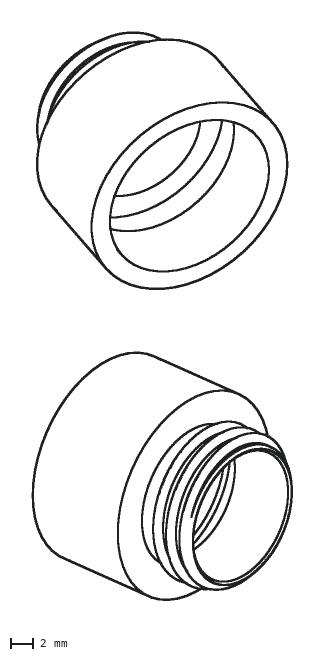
import cadquery as cq
import math

total_length = 16.5
body_diameter = 19.88
neck_length = 6.0
neck_diameter = 13.56
tip_chamfer = 0.3

bore_diameter = 12.45
bore_chamfer = 0.23
bore_length = 6.8
relief_diameter = 17.02
relief_end = 9.5
socket_diameter = 16.14
shoulder_length = 0.28

pitch = 1.5875
thread_height = 0.775
thread_width = 1.0
thread_end = 4.6
crest_x = 0.71
embed = 0.1

body_radius = body_diameter / 2
neck_radius = neck_diameter / 2
tip_radius = neck_radius - tip_chamfer


def revolve_about_x(points):
    """Solid of revolution about X from a closed outline of (x, radius) points."""
    return cq.Workplane("XY").polyline(points).close().revolve(360, (0, 0, 0), (1, 0, 0))


def make_outer_shape():
    """Chamfered neck and the wider body."""
    return revolve_about_x([
        (0, 0),
        (0, tip_radius),
        (tip_chamfer, neck_radius),
        (neck_length, neck_radius),
        (neck_length, body_radius),
        (total_length, body_radius),
        (total_length, 0),
    ])


def make_thread():
    """Helical ridge, trimmed by the 45 degree tip cone and the end plane."""
    foot_radius = neck_radius - embed
    crest_radius = neck_radius + thread_height
    foot_half_width = thread_width / 2 * (thread_height + embed) / thread_height

    lead_in_turns = 2
    turns = lead_in_turns + math.ceil(thread_end / pitch)
    helix = cq.Wire.makeHelix(pitch, pitch * turns, foot_radius)
    ridge = (
        cq.Workplane("XZ")
        .moveTo(foot_radius, -foot_half_width)
        .lineTo(crest_radius, 0)
        .lineTo(foot_radius, foot_half_width)
        .close()
        .sweep(helix, isFrenet=True)
    )

    ridge = ridge.rotate((0, 0, 0), (1, 1, 1), 120)
    ridge = ridge.translate((crest_x - lead_in_turns * pitch, 0, 0))

    envelope = revolve_about_x([
        (0, 0),
        (0, tip_radius),
        (thread_end, tip_radius + thread_end),
        (thread_end, 0),
    ])
    return ridge.intersect(envelope)


def make_passage():
    """Chamfered bore, wider relief, then a conical shoulder into the open socket."""
    bore_radius = bore_diameter / 2
    relief_radius = relief_diameter / 2
    socket_radius = socket_diameter / 2
    return revolve_about_x([
        (0, 0),
        (0, bore_radius + bore_chamfer),
        (bore_chamfer, bore_radius),
        (bore_length, bore_radius),
        (bore_length, relief_radius),
        (relief_end, relief_radius),
        (relief_end + shoulder_length, socket_radius),
        (total_length, socket_radius),
        (total_length, 0),
    ])


result = make_outer_shape().union(make_thread()).cut(make_passage()).solids()